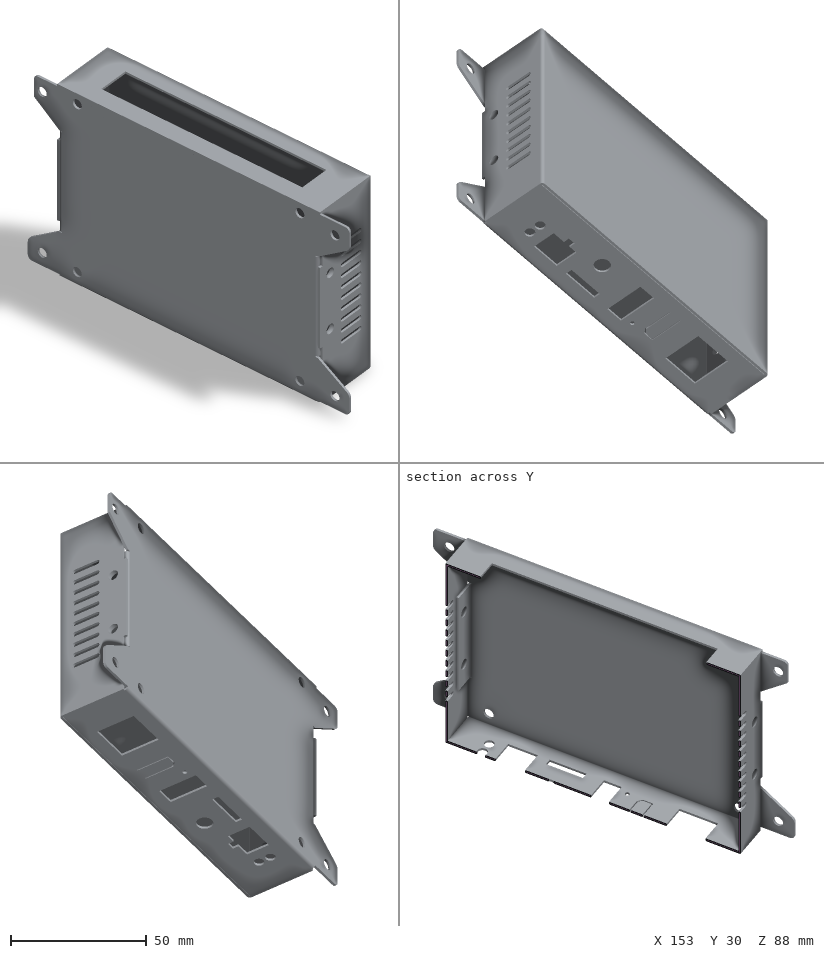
import cadquery as cq
import math

overall_width = 153.0
overall_depth = 30.0
overall_height = 88.0
box_width = 125.0

sheet = 1.0
bend_inner = 0.23
bend_outer = bend_inner + sheet

half_width = overall_width / 2
half_height = overall_height / 2
half_box = box_width / 2
front_y = -overall_depth / 2
back_y = overall_depth / 2
inner_half_box = half_box - sheet
top_underside = half_height - sheet
bottom_bend_z = bend_outer - half_height

window_width = 95.6
window_depth = 13.9
window_x = -0.2
window_y = -0.2
vent_count = 10
vent_span = 45.0
vent_length = 12.0
vent_height = 2.0
vent_y = 3.0
notch_depth = 1.5
notch_start = 18.5

screw_diameter = 4.3
side_screw_y = -9.0
side_screw_z = 12.9
mount_hole_x = 69.6
mount_hole_z = 36.9
plate_hole_x = 53.0
plate_hole_top = 39.2
plate_hole_bottom = -37.8

waist_x = inner_half_box
waist_z = 23.3
relief = 0.5
flange_length = 10.0
tab_shoulder_z = 33.2
short_tab_x = 73.5
short_tab_shoulder_z = 32.9
short_tab_radius = 1.5
tab_radius = 2.0
shoulder_radius = 3.0

openings_back = 8.1
openings_front = -8.1
port_sides = [(-47.6, -31.2), (-6.7, 0.8)]
video_sides = (8.1, 23.7)
video_back = -5.4
network_sides = (28.8, 41.3)
network_back = 1.5
latch_sides = (32.5, 35.6)
latch_back = 4.0
power_x, power_y, power_diameter = 17.7, 4.5, 6.5
pinhole_x, pinhole_y, pinhole_diameter = -10.4, -5.8, 1.8
lamp_x, lamp_diameter = 47.5, 4.0
lamp_rows = [0.3, -4.7]
slit_left, slit_right = -21.4, -15.5
slit_front = -5.8
slit_width = 0.5
slit_chamfer = 1.7


def block(x_limits, y_limits, z_limits):
    """Box between pairs of limits."""
    size = [high - low for low, high in (x_limits, y_limits, z_limits)]
    corner = (x_limits[0], y_limits[0], z_limits[0])
    return cq.Workplane("XY").box(*size, centered=False).translate(corner)


def cylinders_along_x(centres, diameter):
    """Cylinders through the full width, at (Y, Z) centres."""
    return (
        cq.Workplane("YZ")
        .pushPoints(centres)
        .circle(diameter / 2)
        .extrude(half_width, both=True)
    )


def side_screw_holes():
    centres = [(side_screw_y, side_screw_z), (side_screw_y, -side_screw_z)]
    return cylinders_along_x(centres, screw_diameter)


def cover_shell():
    """Back, top and two side walls with rounded bends at the back, open at front and bottom."""
    outer = block((-half_box, half_box), (front_y, back_y), (-half_height, half_height))
    outer = outer.edges(">Y and (|Z or >Z)").fillet(bend_outer)
    inner = block(
        (-inner_half_box, inner_half_box),
        (front_y, back_y - sheet),
        (-half_height, top_underside),
    )
    inner = inner.edges(">Y and (|Z or >Z)").fillet(bend_inner)
    return outer.cut(inner)


def window():
    return (
        cq.Workplane("XY", origin=(window_x, window_y, top_underside))
        .rect(window_width, window_depth)
        .extrude(sheet)
    )


def vents():
    pitch = vent_span / (vent_count - 1)
    centres = [(vent_y, row * pitch - vent_span / 2) for row in range(vent_count)]
    return (
        cq.Workplane("YZ")
        .pushPoints(centres)
        .slot2D(vent_length, vent_height)
        .extrude(half_width, both=True)
    )


def side_wall_notches():
    """Clearance at the front of the side walls, where the tabs pass over them."""
    y_limits = (front_y, front_y + notch_depth)
    upper = block((-half_box, half_box), y_limits, (notch_start, top_underside))
    lower = block((-half_box, half_box), y_limits, (-half_height, -notch_start))
    return upper.union(lower)


def make_cover():
    cover = cover_shell()
    for cutter in (window(), vents(), side_wall_notches(), side_screw_holes()):
        cover = cover.cut(cutter)
    return cover


def bent_leg(plane, length):
    """Bend and straight leg; starts at the bend tangent, local x outwards, local y inwards."""
    middle = math.sqrt(0.5)
    return (
        cq.Workplane(plane)
        .moveTo(-bend_outer, 0)
        .threePointArc((bend_outer * (middle - 1), bend_outer * (1 - middle)), (0, bend_outer))
        .lineTo(0, length)
        .lineTo(-sheet, length)
        .lineTo(-sheet, bend_outer)
        .threePointArc(
            (bend_inner * middle - bend_outer, bend_outer - bend_inner * middle),
            (-bend_outer, sheet),
        )
        .close()
    )


def flat_plate():
    """Front plate with four tapered mounting tabs."""
    bend_x = waist_x - bend_outer
    outline = [
        (-half_width, bottom_bend_z),
        (half_width, bottom_bend_z),
        (half_width, -tab_shoulder_z),
        (waist_x, -waist_z),
        (bend_x, -waist_z),
        (bend_x, waist_z),
        (waist_x, waist_z),
        (half_width, tab_shoulder_z),
        (half_width, top_underside),
        (-short_tab_x, top_underside),
        (-short_tab_x, short_tab_shoulder_z),
        (-waist_x, waist_z),
        (-bend_x, waist_z),
        (-bend_x, -waist_z),
        (-waist_x, -waist_z),
        (-half_width, -tab_shoulder_z),
    ]
    plate = cq.Workplane("XZ", origin=(0, front_y, 0)).polyline(outline).close().extrude(-sheet)

    corner_radii = [
        (-half_width, bottom_bend_z, tab_radius),
        (half_width, bottom_bend_z, tab_radius),
        (half_width, top_underside, tab_radius),
        (-short_tab_x, top_underside, short_tab_radius),
        (half_width, tab_shoulder_z, shoulder_radius),
        (half_width, -tab_shoulder_z, shoulder_radius),
        (-half_width, -tab_shoulder_z, shoulder_radius),
    ]
    for x, z, radius in corner_radii:
        corner = cq.selectors.NearestToPointSelector((x, front_y + sheet / 2, z))
        plate = plate.edges("|Y").edges(corner).fillet(radius)
    return plate


def plate_holes():
    centres = [
        (side * x, z)
        for side in (-1, 1)
        for x, z in (
            (mount_hole_x, mount_hole_z),
            (mount_hole_x, -mount_hole_z),
            (plate_hole_x, plate_hole_top),
            (plate_hole_x, plate_hole_bottom),
        )
    ]
    return (
        cq.Workplane("XZ", origin=(0, front_y, 0))
        .pushPoints(centres)
        .circle(screw_diameter / 2)
        .extrude(-sheet)
    )


def side_flange():
    """Right-hand flange, bent back from the plate to lie inside the cover's side wall."""
    plane = cq.Plane(origin=(waist_x, front_y, 0), xDir=(1, 0, 0), normal=(0, 0, 1))
    return bent_leg(plane, flange_length).extrude(waist_z - relief, both=True)


def floor():
    """Bottom wall, bent back from the plate and ending before the cover's back bends."""
    plane = cq.Plane(origin=(0, front_y, -half_height), xDir=(0, 0, -1), normal=(1, 0, 0))
    return bent_leg(plane, overall_depth - bend_outer).extrude(inner_half_box, both=True)


def floor_prism(x_limits, y_limits):
    """Rectangular cutter through the floor."""
    return block(x_limits, y_limits, (-half_height, sheet - half_height))


def floor_hole(x, y, diameter):
    return (
        cq.Workplane("XY", origin=(x, y, -half_height))
        .circle(diameter / 2)
        .extrude(sheet)
    )


def slit_outline(inset):
    """Prism with one chamfered corner, inset on three sides and reaching the slit's open end."""
    left = slit_left + inset
    right = slit_right - inset
    front = slit_front + inset
    chamfer = slit_chamfer - inset * (2 - math.sqrt(2))
    points = [
        (left, openings_back),
        (left, front),
        (right - chamfer, front),
        (right, front + chamfer),
        (right, openings_back),
    ]
    return cq.Workplane("XY", origin=(0, 0, -half_height)).polyline(points).close().extrude(sheet)


def connector_openings():
    cutters = [floor_prism(sides, (openings_front, openings_back)) for sides in port_sides]
    cutters.append(floor_prism(video_sides, (openings_front, video_back)))
    cutters.append(floor_prism(network_sides, (openings_front, network_back)))
    cutters.append(floor_prism(latch_sides, (network_back, latch_back)))
    cutters.append(floor_hole(power_x, power_y, power_diameter))
    cutters.append(floor_hole(pinhole_x, pinhole_y, pinhole_diameter))
    cutters.extend(floor_hole(lamp_x, y, lamp_diameter) for y in lamp_rows)
    cutters.append(slit_outline(0).cut(slit_outline(slit_width)))
    return cutters


def make_tray():
    right_flange = side_flange()
    left_flange = right_flange.mirror("YZ")
    tray = flat_plate().cut(plate_holes()).union(floor())
    tray = tray.union(right_flange).union(left_flange).cut(side_screw_holes())
    for cutter in connector_openings():
        tray = tray.cut(cutter)
    return tray


cover = make_cover()
tray = make_tray()

result = cq.Compound.makeCompound([cover.val(), tray.val()])